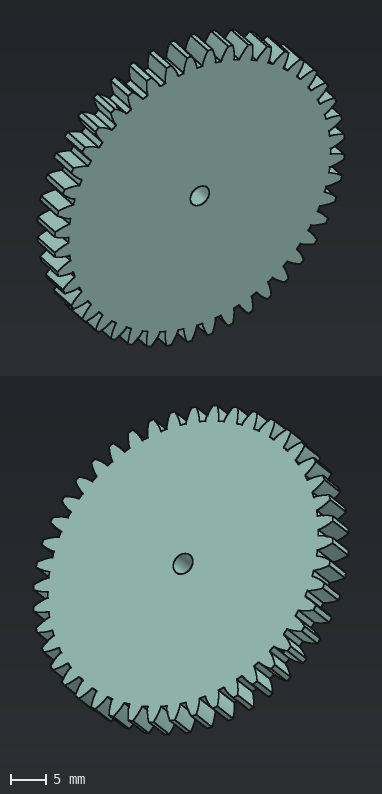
import cadquery as cq
import math

outer_span = 48.6
face_width = 4.75
bore_diameter = 3.15
tooth_count = 44
pressure_angle = math.radians(20)
dedendum_factor = 1.25
flank_steps = 4

pitch_angle = 2 * math.pi / tooth_count


def involute(angle):
    return math.tan(angle) - angle


def tooth_half_angle(radius_ratio):
    """Half the angle a tooth spans at the given radius, as a ratio of the pitch radius."""
    local_pressure_angle = math.acos(math.cos(pressure_angle) / radius_ratio)
    return pitch_angle / 4 + involute(pressure_angle) - involute(local_pressure_angle)


tip_ratio = (tooth_count + 2) / tooth_count
root_ratio = (tooth_count - 2 * dedendum_factor) / tooth_count

tip_corner_angle = pitch_angle / 2 - tooth_half_angle(tip_ratio)
tip_radius = outer_span / 2 / math.cos(tip_corner_angle)
pitch_radius = tip_radius / tip_ratio
root_radius = pitch_radius * root_ratio


def polar(radius, angle):
    return (radius * math.cos(angle), radius * math.sin(angle))


def flank_points(tooth_angle, side):
    """Involute points from root to tip; side is -1 for the leading flank, +1 for the trailing one."""
    points = []
    for step in range(flank_steps + 1):
        radius = root_radius + (tip_radius - root_radius) * step / flank_steps
        half_angle = tooth_half_angle(radius / pitch_radius)
        points.append(polar(radius, tooth_angle + side * half_angle))
    return points


def gear_outline(plane):
    """Closed tooth outline, each tooth followed by the root arc of the next gap."""
    first_tooth_angle = pitch_angle / 2
    outline = plane.moveTo(*flank_points(first_tooth_angle, -1)[0])
    for index in range(tooth_count):
        tooth_angle = first_tooth_angle + index * pitch_angle
        rising_flank = flank_points(tooth_angle, -1)
        falling_flank = flank_points(tooth_angle, 1)[::-1]
        next_root = flank_points(tooth_angle + pitch_angle, -1)[0]
        outline = (
            outline.spline(rising_flank[1:], includeCurrent=True)
            .threePointArc(polar(tip_radius, tooth_angle), falling_flank[0])
            .spline(falling_flank[1:], includeCurrent=True)
            .threePointArc(polar(root_radius, tooth_angle + pitch_angle / 2), next_root)
        )
    return outline.close()


back_face = cq.Workplane("YZ", origin=(-face_width / 2, 0, 0))
gear = gear_outline(back_face).extrude(face_width)
bore = back_face.circle(bore_diameter / 2).extrude(face_width)
result = gear.cut(bore)